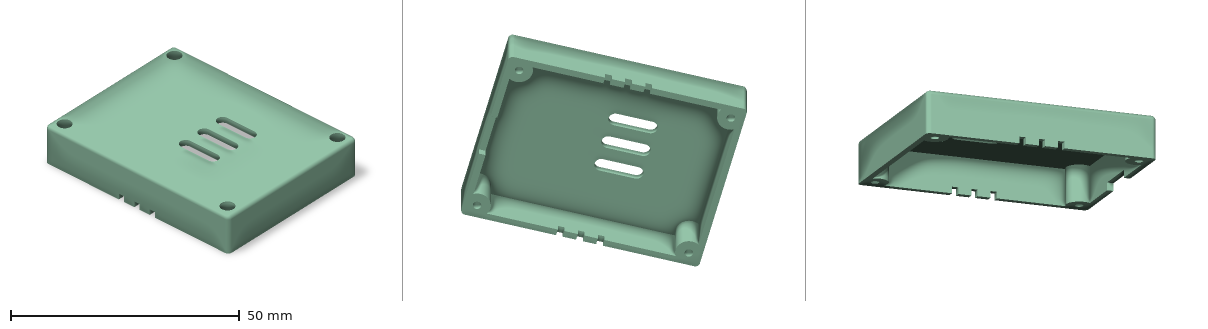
import cadquery as cq

length = 53.95
width = 42.0
height = 10.0
edge_radius = 1.0
wall = 1.5
top_thickness = wall

screw_inset = 3.0
boss_diameter = 2 * screw_inset
screw_hole_diameter = 1.9
head_recess_diameter = 3.5
head_recess_depth = height / 2

vent_length = 11.0
vent_width = 3.0
vent_pitch = 2 * vent_width
vent_center_x = 4.95
vent_count = 3

cable_notch_size = 1.5
cable_notch_pitch = 3 * cable_notch_size
cable_notch_count = 3
port_notch_width = 10.0
port_notch_height = 1.8


def centered_row(count, pitch):
    """Positions of evenly spaced items centered on zero."""
    return [(i - (count - 1) / 2) * pitch for i in range(count)]


def make_outer_block():
    block = cq.Workplane("XY").box(length, width, height, centered=(True, True, False))
    return block.edges("|Z or >Z").fillet(edge_radius)


def make_cavity():
    return cq.Workplane("XY").box(
        length - 2 * wall,
        width - 2 * wall,
        height - top_thickness,
        centered=(True, True, False),
    )


def at_screws(workplane):
    spacing_x = length - 2 * screw_inset
    spacing_y = width - 2 * screw_inset
    return workplane.rect(spacing_x, spacing_y, forConstruction=True).vertices()


def make_bosses():
    return at_screws(cq.Workplane("XY")).circle(boss_diameter / 2).extrude(height)


def make_screw_holes():
    shanks = at_screws(cq.Workplane("XY")).circle(screw_hole_diameter / 2).extrude(height)
    recess_floor = cq.Workplane("XY").workplane(offset=height - head_recess_depth)
    heads = at_screws(recess_floor).circle(head_recess_diameter / 2).extrude(head_recess_depth)
    return shanks.union(heads)


def make_vents():
    centers = [(vent_center_x, y) for y in centered_row(vent_count, vent_pitch)]
    return cq.Workplane("XY").pushPoints(centers).slot2D(vent_length, vent_width).extrude(height)


def make_cable_notches():
    """Square channels along Y that notch both the -Y and +Y walls."""
    centers = [(x, 0) for x in centered_row(cable_notch_count, cable_notch_pitch)]
    return cq.Workplane("XY").pushPoints(centers).rect(cable_notch_size, width).extrude(cable_notch_size)


def make_port_notch():
    """Wide notch in the -X wall only."""
    return (
        cq.Workplane("XY")
        .center((wall - length) / 2, 0)
        .rect(wall, port_notch_width)
        .extrude(port_notch_height)
    )


outer_block = make_outer_block()
cavity = make_cavity().cut(make_bosses())

result = (
    outer_block.cut(cavity)
    .cut(make_screw_holes())
    .cut(make_vents())
    .cut(make_cable_notches())
    .cut(make_port_notch())
)